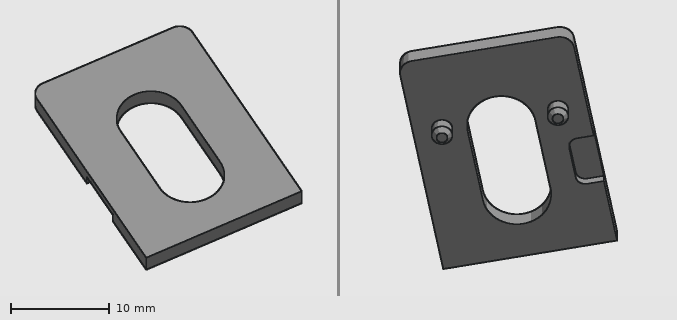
import cadquery as cq

plate_length = 24.8
plate_width = 18.0
plate_thickness = 2.0
corner_radius = 1.5

slot_length = 15.3
slot_width = 7.0
slot_x = 1.0

recess_width = 5.48
recess_depth = 2.73
recess_height = 1.05
recess_corner_radius = 1.0
recess_x = 2.48

pin_diameter = 2.1
pin_length = 1.79
pin_chamfer = 0.5
pin_x = -3.95
pin_offset_y = 6.0


def make_plate():
    """Plate with rounded corners at the -X end."""
    plate = cq.Workplane("XY").box(
        plate_length, plate_width, plate_thickness, centered=(True, True, False)
    )
    return plate.edges("|Z and <X").fillet(corner_radius)


def make_slot():
    """Cutter for the through slot."""
    slot = cq.Workplane("XY").center(slot_x, 0).slot2D(slot_length, slot_width)
    return slot.extrude(plate_thickness)


def make_recess():
    """Cutter for the edge recess, with rounded inner corners."""
    recess = cq.Workplane("XY").box(
        recess_width, recess_depth, recess_height, centered=(True, False, False)
    )
    recess = recess.edges("|Z and >Y").fillet(recess_corner_radius)
    return recess.translate((recess_x, -plate_width / 2, 0))


def make_pin(y):
    """Downward pin with a chamfered tip."""
    pin = cq.Workplane("XY").center(pin_x, y).circle(pin_diameter / 2).extrude(-pin_length)
    return pin.faces("<Z").chamfer(pin_chamfer)


result = make_plate().cut(make_slot()).cut(make_recess())
for side in (-1, 1):
    result = result.union(make_pin(side * pin_offset_y))